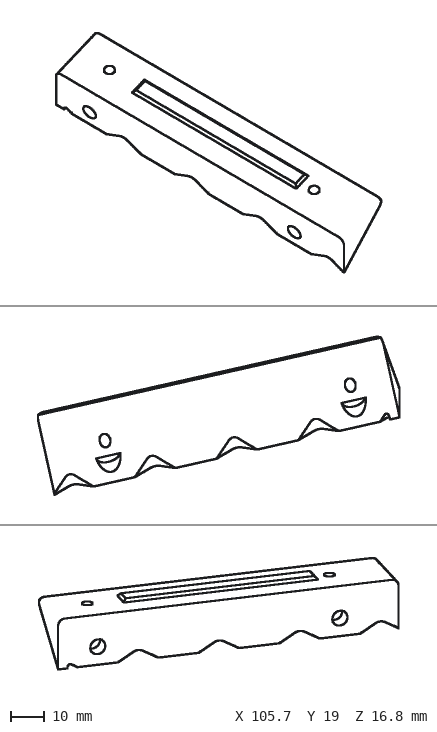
import cadquery as cq
import math

length = 105.7
depth = 19.0
overall_height = 16.8
pad_height = 1.0
body_height = overall_height - pad_height
back_edge_height = 1.0
end_round = 2.1

scallop_pitch = 25.0
first_scallop_x = 24.8
scallop_count = 4
scallop_half_width = 6.2
scallop_angle = math.radians(30)
scallop_round = 3.0
scallop_peak = scallop_half_width * math.tan(scallop_angle)

foot_width = 3.0
foot_notch_round = 0.7

pad_length = 60.2
pad_width = 6.0
pad_center_y = 10.0
pad_bevel = 0.8

hole_xs = [first_scallop_x + scallop_pitch * (i - 0.5) for i in (0, scallop_count - 1)]
vertical_hole_diameter = 3.2
vertical_hole_y = 9.8
front_hole_diameter = 4.7
front_hole_z = 5.7
front_hole_depth = 5.0
boss_diameter = 7.6
boss_end_y = 6.2


def make_body():
    """Wedge section swept along X, with the top edges of both ends rounded."""
    section = [
        (0, 0),
        (depth, body_height - back_edge_height),
        (depth, body_height),
        (0, body_height),
    ]
    wedge = cq.Workplane("YZ").polyline(section).close().extrude(length)
    rounded_block = (
        cq.Workplane("XY")
        .box(length, depth, body_height, centered=False)
        .edges("|Y and >Z")
        .fillet(end_round)
    )
    return wedge.intersect(rounded_block)


def make_groove(points, rounded_edge, radius):
    """Groove along Y with one rounded edge."""
    groove = cq.Workplane("XZ").polyline(points).close().extrude(-depth)
    return groove.edges(rounded_edge).fillet(radius)


def make_scallop(center_x):
    points = [
        (center_x - scallop_half_width, 0),
        (center_x, scallop_peak),
        (center_x + scallop_half_width, 0),
    ]
    return make_groove(points, "|Y and >Z", scallop_round)


def make_foot_notch():
    notch_end = first_scallop_x - scallop_pitch + scallop_half_width
    notch_peak = (notch_end - foot_width) * math.tan(scallop_angle)
    points = [(foot_width, 0), (foot_width, notch_peak), (notch_end, 0)]
    return make_groove(points, "|Y and >Z", foot_notch_round)


def make_pad():
    """Truncated pyramid on the top face."""
    return (
        cq.Workplane("XY", origin=(length / 2, pad_center_y, body_height))
        .rect(pad_length, pad_width)
        .extrude(pad_height, taper=math.degrees(math.atan(pad_bevel / pad_height)))
    )


def make_front_cylinder(x, diameter, end_y):
    """Cylinder running back from the front face."""
    return (
        cq.Workplane("XZ", origin=(x, 0, front_hole_z))
        .circle(diameter / 2)
        .extrude(-end_y)
    )


def make_vertical_hole(x):
    return (
        cq.Workplane("XY", origin=(x, vertical_hole_y, 0))
        .circle(vertical_hole_diameter / 2)
        .extrude(body_height)
    )


result = make_body().union(make_pad())

for hole_x in hole_xs:
    result = result.union(make_front_cylinder(hole_x, boss_diameter, boss_end_y))
    result = result.cut(make_front_cylinder(hole_x, front_hole_diameter, front_hole_depth))
    result = result.cut(make_vertical_hole(hole_x))

for index in range(scallop_count):
    result = result.cut(make_scallop(first_scallop_x + index * scallop_pitch))
result = result.cut(make_foot_notch())